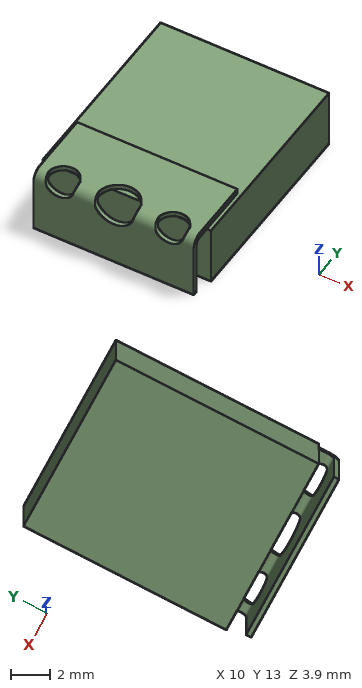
import cadquery as cq
import math

block_width = 10.0
block_length = 11.7
block_height = 3.6

sheet = 0.3
bend_inner_radius = 0.32
shield_width = 9.5
shield_reach = 4.33
front_overhang = 1.3

bend_outer_radius = bend_inner_radius + sheet
bend_neutral_radius = bend_inner_radius + sheet / 2
bend_length = bend_neutral_radius * math.pi / 2

top_z = block_height + sheet
front_y = -front_overhang
bend_y = front_y + bend_outer_radius
bend_z = top_z - bend_outer_radius

large_hole_radius = 1.2
small_hole_radius = 0.88
small_hole_spacing = 3.25
hole_past_bend_start = 0.17
hole_past_bend_end = bend_length - hole_past_bend_start
bend_sections = 9
cut_margin = 0.13


def make_block():
    return cq.Workplane("XY").box(
        block_width, block_length, block_height, centered=(True, False, False)
    )


def make_shield():
    rear_y = front_y + shield_reach
    diagonal = math.sqrt(0.5)
    outer_mid = (bend_y - bend_outer_radius * diagonal, bend_z + bend_outer_radius * diagonal)
    inner_mid = (bend_y - bend_inner_radius * diagonal, bend_z + bend_inner_radius * diagonal)
    return (
        cq.Workplane("YZ")
        .moveTo(rear_y, top_z)
        .lineTo(bend_y, top_z)
        .threePointArc(outer_mid, (front_y, bend_z))
        .lineTo(front_y, 0)
        .lineTo(front_y + sheet, 0)
        .lineTo(front_y + sheet, bend_z)
        .threePointArc(inner_mid, (bend_y, block_height))
        .lineTo(rear_y, block_height)
        .close()
        .extrude(shield_width / 2, both=True)
    )


def chord_half_width(radius, offset):
    return math.sqrt(radius**2 - offset**2)


def segment_cutter(plane, center_x, radius, chord_offset):
    """Part of a round cutter beyond a chord; the chord lies on the local X axis."""
    half_chord = chord_half_width(radius, chord_offset)
    return (
        cq.Workplane(plane)
        .moveTo(center_x - half_chord, 0)
        .threePointArc((center_x, radius - chord_offset), (center_x + half_chord, 0))
        .close()
        .extrude(sheet + 2 * cut_margin)
    )


def bend_section(center_x, radius, angle):
    """Rectangle across the sheet, at an angle measured from the flange end of the bend."""
    offset = bend_neutral_radius * angle - hole_past_bend_start
    half_width = chord_half_width(radius, offset)
    near = bend_inner_radius - cut_margin
    far = bend_outer_radius + cut_margin
    corners = [
        cq.Vector(
            center_x + side * half_width,
            bend_y - reach * math.sin(angle),
            bend_z + reach * math.cos(angle),
        )
        for side, reach in ((-1, near), (1, near), (1, far), (-1, far))
    ]
    return cq.Wire.makePolygon(corners, close=True)


def folded_hole(center_x, radius):
    flange_plane = cq.Plane((0, bend_y, block_height - cut_margin), (1, 0, 0), (0, 0, 1))
    wall_plane = cq.Plane((0, front_y - cut_margin, bend_z), (1, 0, 0), (0, 1, 0))
    flange_cut = segment_cutter(flange_plane, center_x, radius, hole_past_bend_start)
    wall_cut = segment_cutter(wall_plane, center_x, radius, hole_past_bend_end)
    step = math.pi / 2 / (bend_sections - 1)
    sections = [bend_section(center_x, radius, i * step) for i in range(bend_sections)]
    bend_cut = cq.Workplane(cq.Solid.makeLoft(sections))
    return flange_cut, bend_cut, wall_cut


shield = make_shield()
holes = (
    (-small_hole_spacing, small_hole_radius),
    (0, large_hole_radius),
    (small_hole_spacing, small_hole_radius),
)
for hole_x, hole_radius in holes:
    for cutter in folded_hole(hole_x, hole_radius):
        shield = shield.cut(cutter)

result = make_block().union(shield)